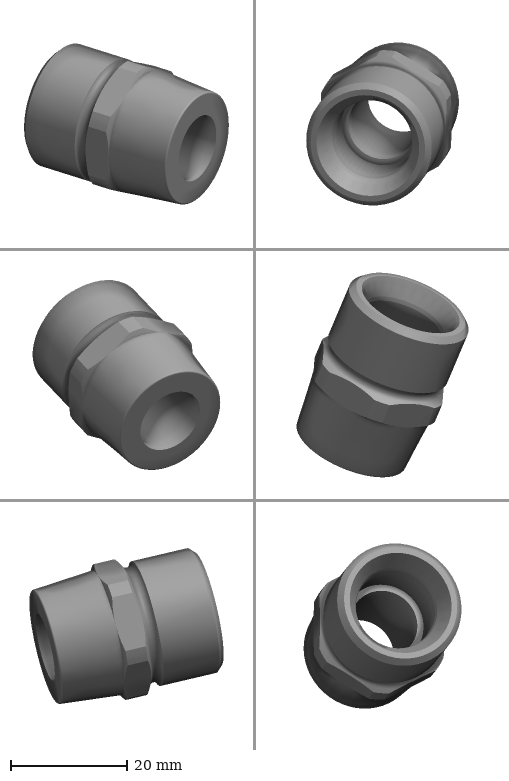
import cadquery as cq
import math

length = 29.0

body_diameter = 22.0
body_radius = body_diameter / 2
body_chamfer = 1.0

across_flats = body_diameter
across_corners = 23.98
corner_radius = across_corners / 2
hex_end = 18.0
hex_chamfer_angle = math.radians(30)
corner_land_start = 13.8
hex_chamfer_length = (corner_radius - body_radius) * math.tan(hex_chamfer_angle)
hex_start = corner_land_start - hex_chamfer_length

groove_floor_radius = 10.12
groove_arc_radius = 1.1
groove_center_r = groove_floor_radius + groove_arc_radius
groove_exit_r = groove_center_r - groove_arc_radius * math.sin(hex_chamfer_angle)
groove_exit_x = hex_start - (body_radius - groove_exit_r) * math.tan(hex_chamfer_angle)
groove_center_x = groove_exit_x - groove_arc_radius * math.cos(hex_chamfer_angle)
body_end = groove_center_x - math.sqrt(groove_arc_radius**2 - (groove_center_r - body_radius) ** 2)

taper_end_radius = 10.05
end_round = 0.32

mouth_diameter = 18.0
seat_end_diameter = 14.47
seat_half_angle = math.radians(30)
seat_depth = (mouth_diameter - seat_end_diameter) / 2 / math.tan(seat_half_angle)
socket_diameter = 14.0
lead_in_length = 0.7
socket_depth = 12.0
bore_diameter = 11.83


def revolve_about_x(profile):
    """Close an XY half-profile and turn it about the X axis."""
    return profile.close().revolve(360, (0, 0, 0), (1, 0, 0))


def make_turned_body():
    """Outside of the fitting before the flats are cut, without the rounded end edge."""
    return revolve_about_x(
        cq.Workplane("XY")
        .lineTo(0, body_radius - body_chamfer)
        .lineTo(body_chamfer, body_radius)
        .lineTo(body_end, body_radius)
        .threePointArc((groove_center_x, groove_floor_radius), (groove_exit_x, groove_exit_r))
        .lineTo(corner_land_start, corner_radius)
        .lineTo(hex_end - hex_chamfer_length, corner_radius)
        .lineTo(hex_end, body_radius)
        .lineTo(length, taper_end_radius)
        .lineTo(length, 0)
    )


def make_flat_cutter():
    """Ring with a hexagonal hole, reaching from the groove to the tapered end."""
    return (
        cq.Workplane("YZ", origin=(groove_center_x, 0, 0))
        .circle(across_corners)
        .polygon(6, across_flats, circumscribed=True)
        .extrude(hex_end - groove_center_x)
    )


def make_bore():
    """Conical seat, short lead-in, cylindrical socket and through bore."""
    return revolve_about_x(
        cq.Workplane("XY")
        .lineTo(0, mouth_diameter / 2)
        .lineTo(seat_depth, seat_end_diameter / 2)
        .lineTo(seat_depth + lead_in_length, socket_diameter / 2)
        .lineTo(socket_depth, socket_diameter / 2)
        .lineTo(socket_depth, bore_diameter / 2)
        .lineTo(length, bore_diameter / 2)
        .lineTo(length, 0)
    )


outside = make_turned_body().faces(">X").edges().fillet(end_round).cut(make_flat_cutter())
result = outside.cut(make_bore())